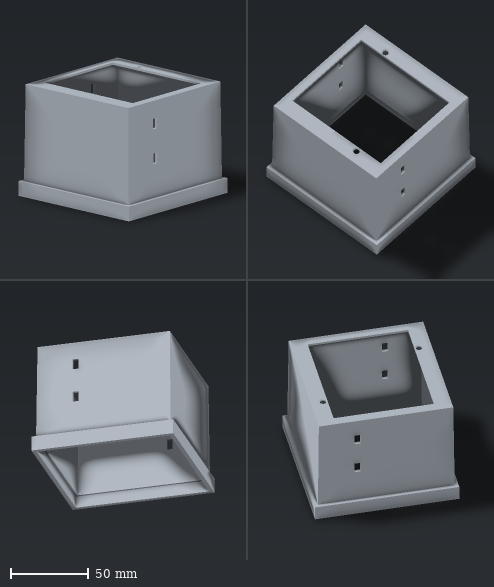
import cadquery as cq

flange_side = 96.0
flange_height = 10.0
total_height = 75.0
body_base_side = 91.0
body_top_side = 89.5

wall = 2.0
top_thickness = 1.5

flange_wall = 3.0
recess_height = 8.0

window_x = 77.0
window_y = 67.0

hole_x = 20.0
hole_y = 36.4
hole_diameter = 4.0
countersink_diameter = 5.6
countersink_angle = 90

slot_width = 4.0
slot_height = 7.0
slot_y = 19.0
slot_centers_z = (36.2, 59.5)


def tapered_block(base_side, top_side, base_z, height):
    """Square block whose side changes evenly from base to top."""
    return (
        cq.Workplane("XY", origin=(0, 0, base_z))
        .rect(base_side, base_side)
        .workplane(offset=height)
        .rect(top_side, top_side)
        .loft(ruled=True)
    )


def side_slot(direction, center_z):
    """Cutter through the wall on one X side, mirrored across the centre."""
    depth = flange_side / 2 - window_x / 2
    center_x = direction * (flange_side / 2 - depth / 2)
    return cq.Workplane("XY").box(depth, slot_width, slot_height).translate(
        (center_x, -direction * slot_y, center_z)
    )


body_height = total_height - flange_height
flange = cq.Workplane("XY").rect(flange_side, flange_side).extrude(flange_height)
body = tapered_block(body_base_side, body_top_side, flange_height, body_height)
result = flange.union(body)

cavity_base_side = body_base_side - 2 * wall
cavity_top_side = body_top_side - 2 * wall
cavity_height = total_height - top_thickness - recess_height
recess_side = flange_side - 2 * flange_wall
recess = cq.Workplane("XY").rect(recess_side, recess_side).extrude(recess_height)
cavity = tapered_block(cavity_base_side, cavity_top_side, recess_height, cavity_height)
result = result.cut(recess).cut(cavity)

result = result.faces(">Z").workplane(origin=(0, 0, total_height)).rect(window_x, window_y).cutThruAll()
result = (
    result.faces(">Z")
    .workplane(origin=(0, 0, total_height))
    .pushPoints([(-hole_x, hole_y), (hole_x, -hole_y)])
    .cskHole(hole_diameter, countersink_diameter, countersink_angle)
)

for direction in (-1, 1):
    for center_z in slot_centers_z:
        result = result.cut(side_slot(direction, center_z))